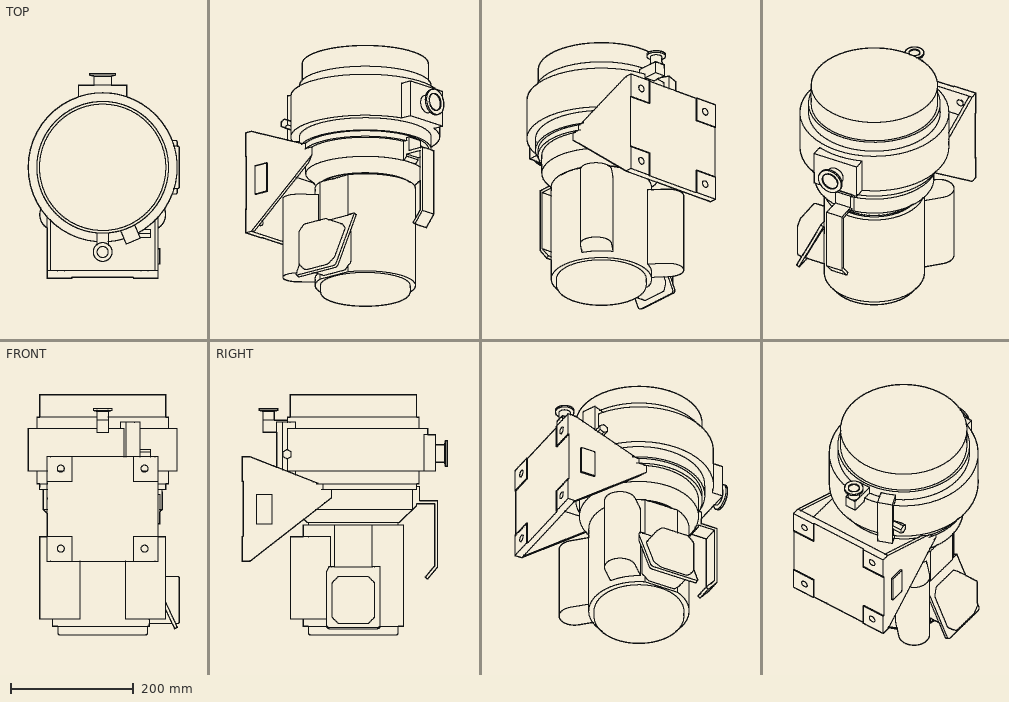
import cadquery as cq
import math


TOTAL_HEIGHT = 391.7
CONE_BOTTOM_Z = 183.5
CONE_TOP_Z = 204.5
COLLAR_BOTTOM_Z = 237.0
LOWER_RING_Z = 246.5
BODY_BOTTOM_Z = 267.0
BODY_TOP_Z = 337.0
INLET_BOTTOM_Z = 355.0
CONE_BOTTOM_R = 75.2
NECK_R = 97.0
COLLAR_R = 103.0
RING_R = 107.5
BODY_R = 121.5

FLANGE_TAPER_ANGLE = 15.0
FLANGE_RIM = 3.0
RECESS_DEPTH = 2.0
OUTLET_BLOCK_WIDTH = 78.7
OUTLET_BLOCK_Y = 134.0
OUTLET_BLOCK_TOP_Z = 326.3
OUTLET_Z = 295.7
OUTLET_R = 14.5
OUTLET_FLANGE_R = 21.0
OUTLET_BORE_R = 14.0
OUTLET_LENGTH = 19.0
PURGE_R = 9.5
PURGE_FLANGE_R = 15.3
PURGE_BORE_R = 9.0
PURGE_LENGTH = 18.8
PURGE_Y = -138.0
PURGE_ARM_BOTTOM_Z = 330.2
PURGE_ARM_TOP_Z = 350.0

POST_ANGLE = 22.5
POST_WIDTH = 24.5
POST_REACH = 130.0
POST_BOTTOM_Z = 258.0
POST_TOP_Z = 347.0
BOLT_FLATS = 13.5
BOLT_Y = -107.7
BOLT_Z = 294.5
BOLT_START_X = 49.0
BOLT_END_X = 77.5

SHEET = 5.0
HOOK_WIDTH = 28.2
HOOK_TOP_Z = 242.0
HOOK_SHELF_Z = 214.0
HOOK_OUTER_Y = 137.5
HOOK_BEND_Z = 111.0
HOOK_TIP_LENGTH = 26.0
HOOK_TIP_ANGLE = 50.0

MOTOR_R = 82.0
MOTOR_FLAT_X = 76.0
MOTOR_BOTTOM_Z = 14.0
MOTOR_TOP_Z = 179.5
END_CAP_R = 73.2
END_CAP_ROUND = 4.0
CAPACITOR_R = 25.5
CAPACITOR_XY = 77.0
CAPACITOR_BOTTOM_Z = 26.2
CAPACITOR_TOP_Z = 160.2

BOX_END_X = 125.0
BOX_WIDTH = 69.5
BOX_HEIGHT = 77.0
BOX_CENTER_Z = 57.0
BOX_CORNER = 10.5
BOX_CORNER_ROUND = 5.0
BOX_RIM_ROUND = 3.0
FLAP_WIDTH = 87.5
FLAP_ANGLE = 65.0
FLAP_TIP_X = 119.5
FLAP_TIP_Z = 11.5
FLAP_LENGTH = 109.5
FLAP_CORNER_ROUND = 5.0

BRACKET_WIDTH = 181.0
BRACKET_FRONT_Y = -181.0
BRACKET_BOTTOM_Z = 120.3
BRACKET_TOP_Z = 290.5
BACK_PLATE = 13.0
CHEEK = 5.5
CHEEK_TIP_Y = -31.5
CHEEK_TIP_BOTTOM_Z = 226.8
PAD_SIZE = 40.5
PAD_RAISE = 1.5
HOLE_DIAMETER = 11.5
HOLE_SPACING_X = 136.5
HOLE_SPACING_Z = 130.5
HOLE_CENTER_Z = 206.0
LABEL_DEPTH = 2.7
LABEL_Y = (-158.0, -132.5)
LABEL_Z = (181.0, 229.0)


def box_between(x, y, z):
    """Box from three (low, high) ranges."""
    size = (x[1] - x[0], y[1] - y[0], z[1] - z[0])
    return cq.Workplane("XY").box(*size, centered=False).translate((x[0], y[0], z[0]))


def disc(radius, bottom, top):
    """Cylinder about the pump axis."""
    return cq.Workplane("XY").workplane(offset=bottom).circle(radius).extrude(top - bottom)


def connector(radius, flange_radius, bore_radius, length):
    """Tube with a tapered flange and a shallow recess, standing on Z = 0."""
    rim_z = length - FLANGE_RIM
    taper = (flange_radius - radius) * math.tan(math.radians(FLANGE_TAPER_ANGLE))
    profile = [
        (0, 0),
        (radius, 0),
        (radius, rim_z - taper),
        (flange_radius, rim_z),
        (flange_radius, length),
        (bore_radius, length),
        (bore_radius, length - RECESS_DEPTH),
        (0, length - RECESS_DEPTH),
    ]
    return cq.Workplane("XZ").polyline(profile).close().revolve(360, (0, 0), (0, 1))


def pump_barrel():
    profile = [
        (0, CONE_BOTTOM_Z),
        (CONE_BOTTOM_R, CONE_BOTTOM_Z),
        (NECK_R, CONE_TOP_Z),
        (NECK_R, COLLAR_BOTTOM_Z),
        (COLLAR_R, COLLAR_BOTTOM_Z),
        (COLLAR_R, LOWER_RING_Z),
        (RING_R, LOWER_RING_Z),
        (RING_R, BODY_BOTTOM_Z),
        (BODY_R, BODY_BOTTOM_Z),
        (BODY_R, BODY_TOP_Z),
        (RING_R, BODY_TOP_Z),
        (RING_R, INLET_BOTTOM_Z),
        (COLLAR_R, INLET_BOTTOM_Z),
        (COLLAR_R, TOTAL_HEIGHT),
        (0, TOTAL_HEIGHT),
    ]
    return cq.Workplane("XZ").polyline(profile).close().revolve(360, (0, 0), (0, 1))


def outlet():
    """Block at the back of the pump with a connector pointing along +Y."""
    half = OUTLET_BLOCK_WIDTH / 2
    block = box_between((-half, half), (0, OUTLET_BLOCK_Y), (BODY_BOTTOM_Z, OUTLET_BLOCK_TOP_Z))
    port = connector(OUTLET_R, OUTLET_FLANGE_R, OUTLET_BORE_R, OUTLET_LENGTH)
    port = port.rotate((0, 0, 0), (1, 0, 0), -90).translate((0, OUTLET_BLOCK_Y, OUTLET_Z))
    return block.union(port)


def purge_port():
    """Arm at the front of the pump with a connector pointing up at its end."""
    arm = box_between(
        (-PURGE_R, PURGE_R), (PURGE_Y - PURGE_R, 0), (PURGE_ARM_BOTTOM_Z, PURGE_ARM_TOP_Z)
    )
    port = connector(PURGE_R, PURGE_FLANGE_R, PURGE_BORE_R, PURGE_LENGTH)
    return arm.union(port.translate((0, PURGE_Y, PURGE_ARM_TOP_Z)))


def clamp_post():
    """Upright post on the main body with a hexagonal bolt lying along X."""
    half = POST_WIDTH / 2
    post = box_between((-half, half), (-POST_REACH, 0), (POST_BOTTOM_Z, POST_TOP_Z))
    post = post.rotate((0, 0, 0), (0, 0, 1), POST_ANGLE)
    across_corners = BOLT_FLATS / math.cos(math.pi / 6)
    bolt = (
        cq.Workplane("YZ")
        .polygon(6, across_corners)
        .extrude(BOLT_END_X - BOLT_START_X)
        .rotate((0, 0, 0), (1, 0, 0), 90)
        .translate((BOLT_START_X, BOLT_Y, BOLT_Z))
    )
    return post.union(bolt)


def hook():
    """Bent sheet hook with the pad that carries it."""
    tip = math.radians(HOOK_TIP_ANGLE)
    along = (-math.cos(tip), -math.sin(tip))
    across = (-math.sin(tip), math.cos(tip))
    inner_y = HOOK_OUTER_Y - SHEET
    inner_bend_z = HOOK_BEND_Z + SHEET * math.tan((math.pi / 2 - tip) / 2)
    tip_y = HOOK_OUTER_Y + HOOK_TIP_LENGTH * along[0]
    tip_z = HOOK_BEND_Z + HOOK_TIP_LENGTH * along[1]
    sheet = [
        (COLLAR_R, HOOK_TOP_Z),
        (COLLAR_R + SHEET, HOOK_TOP_Z),
        (COLLAR_R + SHEET, HOOK_SHELF_Z + SHEET),
        (HOOK_OUTER_Y, HOOK_SHELF_Z + SHEET),
        (HOOK_OUTER_Y, HOOK_BEND_Z),
        (tip_y, tip_z),
        (tip_y + SHEET * across[0], tip_z + SHEET * across[1]),
        (inner_y, inner_bend_z),
        (inner_y, HOOK_SHELF_Z),
        (COLLAR_R, HOOK_SHELF_Z),
    ]
    pad = [
        (0, COLLAR_BOTTOM_Z),
        (COLLAR_R, COLLAR_BOTTOM_Z),
        (COLLAR_R, CONE_TOP_Z + COLLAR_R - NECK_R),
        (NECK_R, CONE_TOP_Z),
        (0, CONE_TOP_Z),
    ]
    half = HOOK_WIDTH / 2
    strip = cq.Workplane("YZ").polyline(sheet).close().extrude(half, both=True)
    return strip.union(cq.Workplane("YZ").polyline(pad).close().extrude(half, both=True))


def build_pump():
    pump = pump_barrel()
    for fitting in (outlet(), purge_port(), clamp_post(), hook()):
        pump = pump.union(fitting)
    return pump


def motor_barrel():
    end_cap = disc(END_CAP_R, 0, CONE_BOTTOM_Z).faces("<Z").edges().fillet(END_CAP_ROUND)
    casing = disc(MOTOR_R, MOTOR_BOTTOM_Z, MOTOR_TOP_Z)
    beyond_flat = box_between(
        (MOTOR_FLAT_X, MOTOR_R), (-MOTOR_R, MOTOR_R), (MOTOR_BOTTOM_Z, MOTOR_TOP_Z)
    )
    return end_cap.union(casing.cut(beyond_flat))


def capacitor(side):
    """Round capacitor with a saddle as wide as itself; side is -1 or +1 along X."""
    height = CAPACITOR_TOP_Z - CAPACITOR_BOTTOM_Z
    reach = CAPACITOR_XY * math.sqrt(2)
    can = (
        cq.Workplane("XY")
        .moveTo(0, -CAPACITOR_R)
        .lineTo(reach, -CAPACITOR_R)
        .threePointArc((reach + CAPACITOR_R, 0), (reach, CAPACITOR_R))
        .lineTo(0, CAPACITOR_R)
        .close()
        .extrude(height)
    )
    direction = -90 + side * 45
    return can.rotate((0, 0, 0), (0, 0, 1), direction).translate((0, 0, CAPACITOR_BOTTOM_Z))


def terminal_box():
    """Box on the +X side with cut and rounded corners."""
    return (
        cq.Workplane("YZ")
        .rect(BOX_WIDTH, BOX_HEIGHT)
        .extrude(BOX_END_X)
        .edges("|X")
        .chamfer(BOX_CORNER)
        .edges("|X")
        .fillet(BOX_CORNER_ROUND)
        .faces(">X")
        .edges()
        .fillet(BOX_RIM_ROUND)
        .translate((0, 0, BOX_CENTER_Z))
    )


def terminal_flap():
    """Sheet plate that slopes down and out from the motor through the terminal box."""
    return (
        cq.Workplane("XY")
        .box(FLAP_LENGTH, FLAP_WIDTH, SHEET, centered=(False, True, True))
        .edges("|Z and >X")
        .fillet(FLAP_CORNER_ROUND)
        .translate((-FLAP_LENGTH, 0, 0))
        .rotate((0, 0, 0), (0, 1, 0), FLAP_ANGLE)
        .translate((FLAP_TIP_X, 0, FLAP_TIP_Z))
    )


def build_motor():
    motor = motor_barrel()
    for side in (-1, 1):
        motor = motor.union(capacitor(side))
    return motor.union(terminal_box()).union(terminal_flap())


def back_plate():
    """Upright plate with a raised pad and a through hole at each corner."""
    half = BRACKET_WIDTH / 2
    face_y = BRACKET_FRONT_Y + PAD_RAISE
    back_y = BRACKET_FRONT_Y + BACK_PLATE
    plate = box_between((-half, half), (face_y, back_y), (BRACKET_BOTTOM_Z, BRACKET_TOP_Z))
    for x in (-half, half - PAD_SIZE):
        for z in (BRACKET_BOTTOM_Z, BRACKET_TOP_Z - PAD_SIZE):
            pad = box_between((x, x + PAD_SIZE), (BRACKET_FRONT_Y, back_y), (z, z + PAD_SIZE))
            plate = plate.union(pad)
    holes = (
        cq.Workplane("XZ", origin=(0, back_y, HOLE_CENTER_Z))
        .rarray(HOLE_SPACING_X, HOLE_SPACING_Z, 2, 2)
        .circle(HOLE_DIAMETER / 2)
        .extrude(BACK_PLATE)
    )
    return plate.cut(holes)


def cheek(outer_x, inward):
    """Side plate that narrows from the back plate to the pump wall."""
    back_y = BRACKET_FRONT_Y + BACK_PLATE
    outline = [
        (back_y, BRACKET_BOTTOM_Z),
        (back_y, BRACKET_TOP_Z),
        (CHEEK_TIP_Y, COLLAR_BOTTOM_Z),
        (CHEEK_TIP_Y, CHEEK_TIP_BOTTOM_Z),
    ]
    plate = cq.Workplane("YZ").polyline(outline).close().extrude(inward * CHEEK)
    return plate.translate((outer_x, 0, 0))


def build_bracket(pump):
    half = BRACKET_WIDTH / 2
    back_y = BRACKET_FRONT_Y + BACK_PLATE
    shelf = box_between((-half, half), (back_y, CHEEK_TIP_Y), (COLLAR_BOTTOM_Z, LOWER_RING_Z))
    label = box_between((half, half + LABEL_DEPTH), LABEL_Y, LABEL_Z)
    bracket = back_plate().union(cheek(-half, 1)).union(cheek(half, -1))
    bracket = bracket.union(shelf).union(label)
    return bracket.cut(pump)


pump = build_pump()
motor = build_motor()
bracket = build_bracket(pump)

result = cq.Compound.makeCompound([pump.solids().val(), motor.solids().val(), bracket.solids().val()])